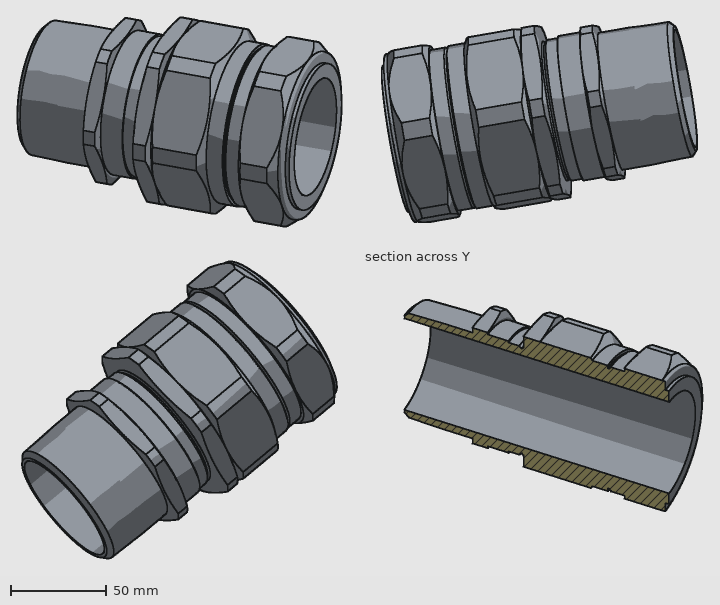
import cadquery as cq
import math

total_length = 155.2
bore_radius = 31.4

entry_end_radius = 33.4
entry_chamfer = 2.6
thread_tip_radius = 36.1
thread_radius = 36.7
thread_end_x = 23.2

shoulder_radius = 38.7
shoulder_end_x = 61.1
neck_radius = 37.7
neck_end_x = 67.4
relief_bottom_radius = 36.3
relief_bottom_x = 68.8
relief_end_radius = 37.3
collar_radius = 43.5
collar_end_x = 119.3
groove_radius = 41.6
groove_end_x = 120.0
sleeve_radius = 43.0
sleeve_start_x = 121.0
end_ring_radius = 45.0
end_ring_end_x = 153.1
end_ring_fillet = 0.9
lip_radius = 39.2

lock_flats = 80.0
lock_corner_radius = 44.0
main_flats = 90.0
main_corner_radius = 49.475

lock_start_x = 39.9
lock_end_x = 48.9
lock_chamfer = 1.3
front_start_x = 69.8
body_start_x = 79.6
body_end_x = 110.2
cap_start_x = 128.9
cap_end_x = 151.1
shallow_chamfer = 1.4
nut_chamfer = 2.6
body_back_chamfer = 3.4
body_back_face_radius = 43.5
cap_back_chamfer = 4.5


def turned(points):
    """Revolve a closed (x, radius) outline about the X axis."""
    return cq.Workplane("XZ").polyline(points).close().revolve(360, (0, 0, 0), (1, 0, 0))


def hex_nut(start_x, end_x, flats, corner_radius, front, back):
    """Hexagon with two flats facing Z; front and back are (chamfer length, end face radius)."""
    across_corners = flats / math.cos(math.pi / 6)
    prism = (
        cq.Workplane("YZ")
        .workplane(offset=start_x)
        .polygon(6, across_corners)
        .extrude(end_x - start_x)
    )
    front_chamfer, front_radius = front
    back_chamfer, back_radius = back
    envelope = turned([
        (start_x, 0),
        (start_x, front_radius),
        (start_x + front_chamfer, corner_radius),
        (end_x - back_chamfer, corner_radius),
        (end_x, back_radius),
        (end_x, 0),
    ])
    return prism.intersect(envelope)


def make_body():
    """Turned core that runs the whole length and carries the nuts."""
    arc_mid = end_ring_fillet * math.sqrt(0.5)
    fillet_x = end_ring_end_x - end_ring_fillet
    fillet_r = end_ring_radius - end_ring_fillet
    return (
        cq.Workplane("XZ")
        .moveTo(0, 0)
        .lineTo(0, entry_end_radius)
        .lineTo(entry_chamfer, thread_tip_radius)
        .lineTo(thread_end_x, thread_radius)
        .lineTo(lock_end_x, thread_radius)
        .lineTo(lock_end_x, shoulder_radius)
        .lineTo(shoulder_end_x, shoulder_radius)
        .lineTo(shoulder_end_x, neck_radius)
        .lineTo(neck_end_x, neck_radius)
        .lineTo(relief_bottom_x, relief_bottom_radius)
        .lineTo(front_start_x, relief_end_radius)
        .lineTo(body_start_x, relief_end_radius)
        .lineTo(body_start_x, collar_radius)
        .lineTo(collar_end_x, collar_radius)
        .lineTo(collar_end_x, groove_radius)
        .lineTo(groove_end_x, groove_radius)
        .lineTo(sleeve_start_x, sleeve_radius)
        .lineTo(cap_end_x, sleeve_radius)
        .lineTo(cap_end_x, end_ring_radius)
        .lineTo(fillet_x, end_ring_radius)
        .threePointArc((fillet_x + arc_mid, fillet_r + arc_mid), (end_ring_end_x, fillet_r))
        .lineTo(end_ring_end_x, lip_radius)
        .lineTo(total_length, lip_radius)
        .lineTo(total_length, 0)
        .close()
        .revolve(360, (0, 0, 0), (1, 0, 0))
    )


def make_nuts():
    """Lock nut, front nut, body nut and cap nut, in order along X."""
    lock_end = (lock_chamfer, lock_flats / 2)
    main_face_radius = main_flats / 2
    shallow_end = (shallow_chamfer, main_face_radius)
    nut_end = (nut_chamfer, main_face_radius)
    body_back = (body_back_chamfer, body_back_face_radius)
    cap_back = (cap_back_chamfer, main_face_radius)
    return [
        hex_nut(lock_start_x, lock_end_x, lock_flats, lock_corner_radius, lock_end, lock_end),
        hex_nut(front_start_x, body_start_x, main_flats, main_corner_radius, shallow_end, shallow_end),
        hex_nut(body_start_x, body_end_x, main_flats, main_corner_radius, nut_end, body_back),
        hex_nut(cap_start_x, cap_end_x, main_flats, main_corner_radius, nut_end, cap_back),
    ]


def make_bore():
    """Straight bore through the whole length."""
    return cq.Workplane("YZ").circle(bore_radius).extrude(total_length)


gland = make_body()
for nut in make_nuts():
    gland = gland.union(nut)
result = gland.cut(make_bore())